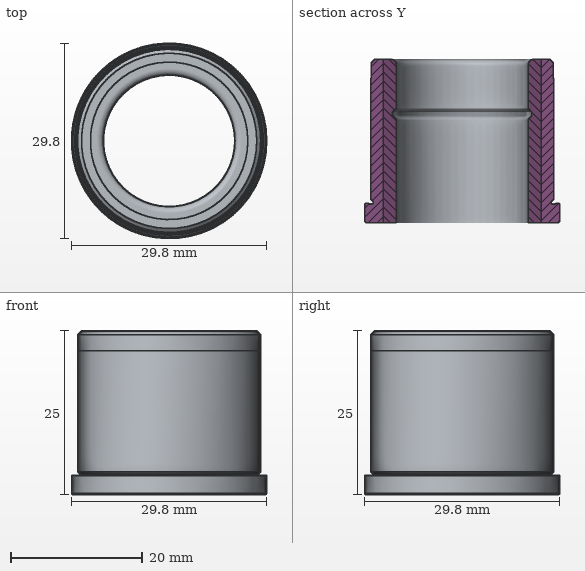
import cadquery as cq
import math

total_height = 25.0
flange_radius = 14.9
flange_height = 3.0
flange_bottom_chamfer = 0.2
flange_top_chamfer_width = 0.2
flange_top_chamfer_height = 0.1
body_radius = 13.98
body_top_chamfer = 0.6

lead_height = 3.0
lead_relief = 0.015

undercut_depth = 0.4
undercut_top = flange_height + 0.55
undercut_floor = flange_height - 0.12
undercut_flange_radius = 14.4
undercut_floor_radius = 14.15
undercut_fillet = 0.25

liner_radius = 12.0
bore_radius = 10.0
bore_mouth_fillet = 1.0

groove_top = total_height - 7.55
groove_height = 1.73
groove_depth = 0.6


def revolve_profile(profile):
    """Revolve a closed radius-height profile about the Z axis."""
    return profile.close().revolve(360, (0, 0, 0), (0, 1, 0))


def make_sleeve():
    """Flanged outer sleeve with an undercut neck and a relieved lead-in."""
    neck_radius = body_radius - undercut_depth
    fillet_offset = undercut_fillet * (1 - math.sqrt(0.5))
    lead_radius = body_radius - lead_relief
    lead_bottom = total_height - lead_height
    profile = (
        cq.Workplane("XZ")
        .moveTo(liner_radius, 0)
        .lineTo(flange_radius - flange_bottom_chamfer, 0)
        .lineTo(flange_radius, flange_bottom_chamfer)
        .lineTo(flange_radius, flange_height - flange_top_chamfer_height)
        .lineTo(flange_radius - flange_top_chamfer_width, flange_height)
        .lineTo(undercut_flange_radius, flange_height)
        .lineTo(undercut_floor_radius, undercut_floor)
        .lineTo(neck_radius + undercut_fillet, undercut_floor)
        .threePointArc(
            (neck_radius + fillet_offset, undercut_floor + fillet_offset),
            (neck_radius, undercut_floor + undercut_fillet),
        )
        .lineTo(neck_radius, undercut_top - undercut_depth)
        .lineTo(body_radius, undercut_top)
        .lineTo(body_radius, lead_bottom)
        .lineTo(lead_radius, lead_bottom)
        .lineTo(lead_radius, total_height - body_top_chamfer)
        .lineTo(lead_radius - body_top_chamfer, total_height)
        .lineTo(liner_radius, total_height)
    )
    return revolve_profile(profile)


def make_bore_groove():
    """Ring that is cut from the liner to leave the tapered groove."""
    groove_bottom = groove_top - groove_height
    groove_radius = bore_radius + groove_depth
    profile = (
        cq.Workplane("XZ")
        .moveTo(bore_radius, groove_bottom)
        .lineTo(groove_radius, groove_bottom + groove_depth)
        .lineTo(groove_radius, groove_top - groove_depth)
        .lineTo(bore_radius, groove_top)
    )
    return revolve_profile(profile)


def make_liner():
    """Inner lining with a rounded upper mouth and a grooved bore."""
    tube = cq.Workplane("XY").circle(liner_radius).circle(bore_radius).extrude(total_height)
    bore_mouth = tube.faces(">Z").edges(cq.selectors.RadiusNthSelector(0))
    return bore_mouth.fillet(bore_mouth_fillet).cut(make_bore_groove())


sleeve = make_sleeve()
liner = make_liner()

result = cq.Compound.makeCompound([sleeve.val(), liner.val()])